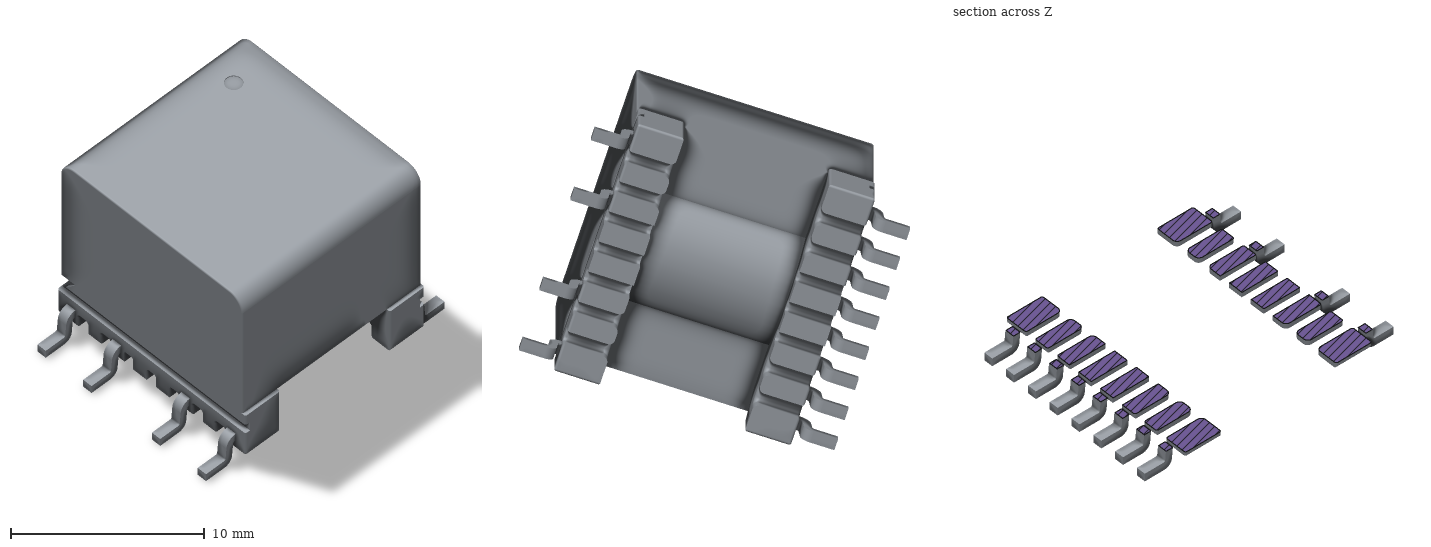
import cadquery as cq
import math

case_length = 13.5
case_width = 12.9
case_top = 12.71
case_bottom = 3.95
case_top_radius = 1.0
edge_radius = 0.1
pin_one_mark_diameter = 1.0
pin_one_mark_depth = 0.05
pin_one_mark_x = -4.41
pin_one_mark_y = 3.75

winding_diameter = 7.4
winding_bottom = 2.37

rail_length = 13.97
rail_bottom = 0.88
rail_edge_radius = 0.13
inner_slot_radius = 0.3
edge_tolerance = 0.02
rail_inner_y = 3.95
rail_outer_y = case_width / 2
slope_bottom = 2.6
groove_bottom = slope_bottom
groove_top = 3.24
groove_depth = 0.33

pin_pitch = 1.7
pin_count = 8
slot_width = 0.7
slot_top = 1.74
slot_corner_radius = 0.18
plain_slot_reach = pin_pitch + slot_width / 2 + edge_tolerance

pin_width = 0.62
pin_thickness = 0.53
width_over_pins = 17.17
pin_tip_y = width_over_pins / 2
pin_root_y = 6.0
pin_top = 2.02
pin_shoulder_y = 7.06
leg_width_y = 0.48
leg_tilt = math.radians(5)
pin_shoulder_radius = 0.68
pin_heel_radius = 0.54
pin_inner_radius = 0.1
front_pin_numbers = (0, 2, 5, 7)
back_pin_numbers = range(pin_count)


def make_case():
    case = (
        cq.Workplane("XY", origin=(0, 0, case_bottom))
        .rect(case_length, case_width)
        .extrude(case_top - case_bottom)
        .edges("|Y and >Z")
        .fillet(case_top_radius)
    )
    case = case.faces("<Y or >Y").edges("not <Z").fillet(edge_radius)
    mark = (
        cq.Workplane("XY", origin=(pin_one_mark_x, pin_one_mark_y, case_top))
        .circle(pin_one_mark_diameter / 2)
        .extrude(-pin_one_mark_depth)
    )
    return case.cut(mark)


def make_winding():
    center_z = winding_bottom + winding_diameter / 2
    return (
        cq.Workplane("XZ", origin=(0, 0, center_z))
        .circle(winding_diameter / 2)
        .extrude(rail_inner_y, both=True)
    )


def make_slot(x):
    height = slot_top - rail_bottom
    return (
        cq.Workplane("XY", origin=(x, -case_width / 2, rail_bottom))
        .rect(slot_width, case_width)
        .extrude(height)
        .edges("|Y and >Z")
        .fillet(slot_corner_radius)
    )


def edges_in_box(x_range, y_range, z_range):
    """Selector for the edges whose centers lie inside a box."""
    low_corner, high_corner = zip(x_range, y_range, z_range)
    return cq.selectors.BoxSelector(low_corner, high_corner)


def combine(selectors):
    """Selector for everything that any of the given selectors picks."""
    combined, *others = selectors
    for other in others:
        combined = combined + other
    return combined


def make_front_rail():
    half_length = rail_length / 2
    slope_rise = case_bottom - slope_bottom
    rail = (
        cq.Workplane("XZ", origin=(0, -rail_inner_y, 0))
        .moveTo(-half_length, rail_bottom)
        .lineTo(half_length, rail_bottom)
        .lineTo(half_length, case_bottom)
        .lineTo(-half_length + slope_rise, case_bottom)
        .lineTo(-half_length, slope_bottom)
        .close()
        .extrude(rail_outer_y - rail_inner_y)
    )

    slot_count = pin_count - 1
    for number in range(slot_count):
        slot_x = (number - (slot_count - 1) / 2) * pin_pitch
        rail = rail.cut(make_slot(slot_x))

    sides = ((-rail_length, -plain_slot_reach), (plain_slot_reach, rail_length))
    inner_face = (-rail_inner_y - edge_tolerance, -rail_inner_y + edge_tolerance)
    outer_face = (-rail_outer_y - edge_tolerance, -rail_outer_y + edge_tolerance)
    slot_heights = (rail_bottom + edge_tolerance, slot_top + edge_tolerance)
    inner_slots = combine(edges_in_box(side, inner_face, slot_heights) for side in sides)
    end_ranges = [(x - edge_tolerance, x + edge_tolerance) for x in (-half_length, half_length)]
    end_corners = combine(edges_in_box(end, inner_face, (0, case_bottom)) for end in end_ranges)
    rail = rail.edges(inner_slots - end_corners).fillet(inner_slot_radius)

    slope_x = (-half_length + edge_tolerance, -plain_slot_reach)
    inner_slope = edges_in_box(slope_x, inner_face, (slope_bottom, case_bottom - edge_tolerance))
    outer_rim = combine(edges_in_box(side, outer_face, (0, slope_bottom)) for side in sides)
    end_bottoms = combine(edges_in_box(end, (-rail_outer_y, 0), (0, slot_top)) for end in end_ranges)
    rail = rail.edges(inner_slope + outer_rim + end_bottoms + end_corners).fillet(rail_edge_radius)

    groove = (
        cq.Workplane("XY", origin=(0, -rail_outer_y, groove_bottom))
        .rect(2 * rail_length, 2 * groove_depth)
        .extrude(groove_top - groove_bottom)
    )
    return rail.cut(groove)


def make_back_pin(x):
    drop_to_foot = pin_top - pin_thickness
    lean = math.tan(leg_tilt)
    outer_foot_y = pin_shoulder_y + drop_to_foot * lean
    inner_shoulder_y = pin_shoulder_y - leg_width_y + pin_thickness * lean
    inner_heel_y = pin_shoulder_y - leg_width_y + pin_top * lean
    outline = (
        cq.Workplane("YZ", origin=(x, 0, 0))
        .moveTo(pin_root_y, pin_top)
        .lineTo(pin_shoulder_y, pin_top)
        .lineTo(outer_foot_y, pin_thickness)
        .lineTo(pin_tip_y, pin_thickness)
        .lineTo(pin_tip_y, 0)
        .lineTo(inner_heel_y, 0)
        .lineTo(inner_shoulder_y, drop_to_foot)
        .lineTo(pin_root_y, drop_to_foot)
        .close()
    )
    pin = outline.extrude(pin_width / 2, both=True)

    def bend_edge(y, z):
        return cq.selectors.NearestToPointSelector((x, y, z))

    pin = pin.edges("|X").edges(bend_edge(pin_shoulder_y, pin_top)).fillet(pin_shoulder_radius)
    pin = pin.edges("|X").edges(bend_edge(inner_heel_y, 0)).fillet(pin_heel_radius)
    pin = pin.edges("|X").edges(bend_edge(outer_foot_y, pin_thickness)).fillet(pin_inner_radius)
    return pin.edges("|X").edges(bend_edge(inner_shoulder_y, drop_to_foot)).fillet(pin_inner_radius)


def pin_x(number):
    return (number - (pin_count - 1) / 2) * pin_pitch


front_rail = make_front_rail()
result = make_case().union(make_winding()).union(front_rail).union(front_rail.mirror("XZ"))
for number in back_pin_numbers:
    result = result.union(make_back_pin(pin_x(number)))
for number in front_pin_numbers:
    result = result.union(make_back_pin(pin_x(number)).mirror("XZ"))